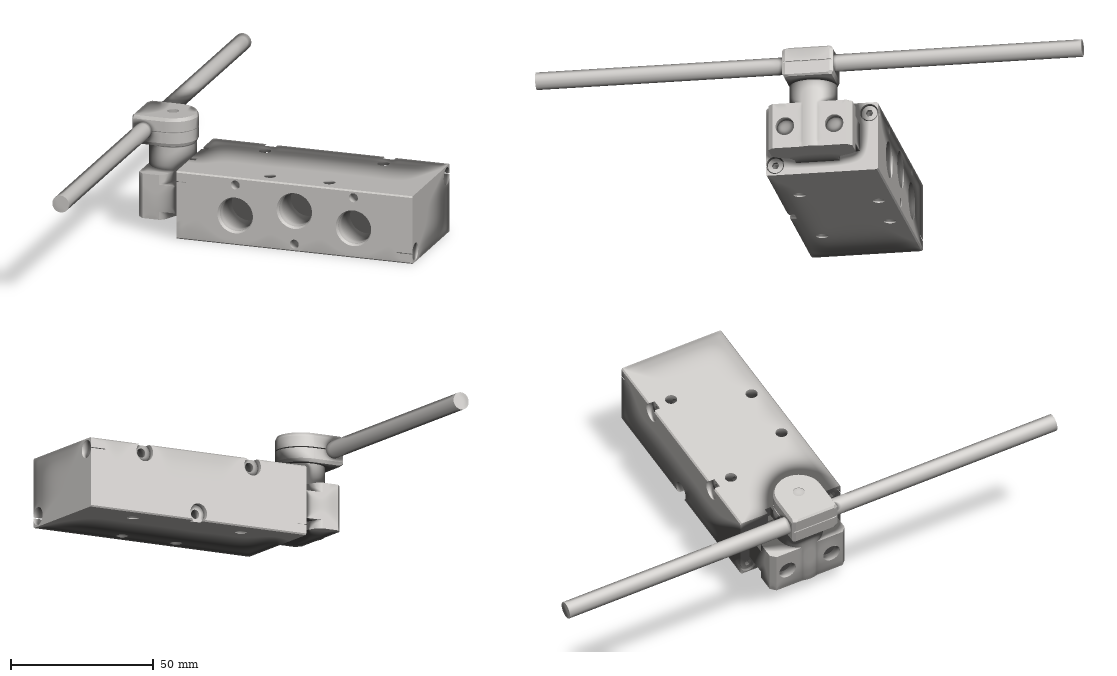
import cadquery as cq
import math

VALVE_LENGTH = 87.8
VALVE_WIDTH = 40.0
VALVE_HEIGHT = 25.0
COVER_LENGTH = 12.9
BODY_LENGTH = VALVE_LENGTH - 2 * COVER_LENGTH
EDGE_CHAMFER = 0.5
VALVE_FRONT = -VALVE_LENGTH / 2
VALVE_REAR = VALVE_LENGTH / 2
MID_HEIGHT = VALVE_HEIGHT / 2

PORT_SPACING = 22.0
OUTER_PORT_Z = 11.0
MIDDLE_PORT_Z = 15.0
PORT_CENTRES = [(-PORT_SPACING, OUTER_PORT_Z), (0, MIDDLE_PORT_Z), (PORT_SPACING, OUTER_PORT_Z)]
PORT_RADIUS = 6.1
PORT_MOUTH_RADIUS = 6.6
PORT_MOUTH_DEPTH = 1.2
PORT_DEPTH = 14.0

SIDE_HOLE_INSET = 2.75
SIDE_HOLE_CENTRES = [
    (-PORT_SPACING, VALVE_HEIGHT - SIDE_HOLE_INSET),
    (0, SIDE_HOLE_INSET),
    (PORT_SPACING, VALVE_HEIGHT - SIDE_HOLE_INSET),
]
SIDE_HOLE_RADIUS = 1.65
SIDE_COUNTERBORE_RADIUS = 3.4
SIDE_COUNTERBORE_DEPTH = 2.5

TOP_HOLE_LEFT_Y = 12.0
TOP_HOLE_RIGHT_Y = -14.25
TOP_HOLE_CENTRES = [
    (-PORT_SPACING, TOP_HOLE_LEFT_Y),
    (PORT_SPACING, TOP_HOLE_LEFT_Y),
    (-PORT_SPACING / 2, TOP_HOLE_RIGHT_Y),
    (PORT_SPACING / 2, TOP_HOLE_RIGHT_Y),
]
TOP_HOLE_RADIUS = 2.15

SCREW_Y = 16.8
SCREW_RISE = 8.75
FRONT_SCREW_CENTRES = [(-SCREW_Y, MID_HEIGHT + SCREW_RISE), (SCREW_Y, MID_HEIGHT - SCREW_RISE)]
REAR_COUNTERBORE_CENTRES = [(-SCREW_Y, MID_HEIGHT - SCREW_RISE), (SCREW_Y, MID_HEIGHT + SCREW_RISE)]
SCREW_HEAD_RADIUS = 2.7
SCREW_HEAD_LENGTH = 3.0
SCREW_SHANK_RADIUS = 1.5
SCREW_LENGTH = 12.0
SOCKET_WIDTH = 2.3
SOCKET_DEPTH = 1.5
SOCKET_TIP_RADIUS = 0.9
SOCKET_TIP_DEPTH = 0.6
SIDE_BREAK = 0.003
COUNTERBORE_RADIUS = VALVE_WIDTH / 2 - SCREW_Y + SIDE_BREAK
FRONT_COUNTERBORE_DEPTH = 3.6
REAR_COUNTERBORE_DEPTH = 5.9

POCKET_SIZE = 2.3
POCKET_DEPTH = 4.0
POCKET_OFFSET = 6.5

LEVER_REACH = 8.7
NECK_RADIUS = 8.5
LEVER_X = VALVE_FRONT - LEVER_REACH
LEVER_Y = 1.5

BRACKET_WIDTH = 30.0
BRACKET_BOTTOM = 4.1
BRACKET_TOP = 20.6
BRACKET_FRONT = LEVER_X - 8.0
BRACKET_CHAMFER = 1.8
FLANGE_BOTTOM = 7.1
FLANGE_TOP = 17.1
WAIST_HALF_WIDTH = 7.8
SHOULDER_MIDDLE = (1.4, BRACKET_WIDTH / 2 - 0.9)
SHOULDER_END = (2.3, BRACKET_WIDTH / 2 - 2.3)
SLOPE_END = (4.0, WAIST_HALF_WIDTH + 1.0)
STEP_END = (5.8, WAIST_HALF_WIDTH)
BRACKET_HOLE_SPACING = 17.6
BRACKET_HOLE_RADIUS = 3.3
BRACKET_HOLE_DEPTH = 3.3

TOP = 39.75
TOTAL_LENGTH = 108.9
CLAMP_HEIGHT = 10.5
CLAMP_BOTTOM = TOP - CLAMP_HEIGHT
CLAMP_RADIUS = 9.1
CLAMP_FRONT = VALVE_REAR - TOTAL_LENGTH
CLAMP_CHAMFER_HIGH = 0.6
CLAMP_CHAMFER_WIDE = 1.2
CLAMP_GAP = 0.5
STEM_RADIUS = 6.0
CLAMP_MIDDLE = CLAMP_BOTTOM + CLAMP_HEIGHT / 2
SLIT_HEIGHT = 0.4
GROOVE_DEPTH = 0.4
RECESS_RADIUS = 2.1
RECESS_DEPTH = 0.2
ROD_RADIUS = 3.1
ROD_LENGTH = 195.0
ROD_X = -60.5


def cylinder(start, direction, radius, length):
    """A cylinder that starts at a point and runs along a direction."""
    return cq.Workplane(cq.Solid.makeCylinder(radius, length, cq.Vector(*start), cq.Vector(*direction)))


def box(x_range, y_range, z_range):
    """A box that spans the given ranges along X, Y and Z."""
    (x0, x1), (y0, y1), (z0, z1) = x_range, y_range, z_range
    return cq.Workplane("XY").box(x1 - x0, y1 - y0, z1 - z0, centered=False).translate((x0, y0, z0))


def valve_bar(start, length):
    """A length of the valve's rectangular bar, with its four long edges chamfered."""
    half_width = VALVE_WIDTH / 2
    bar = box((start, start + length), (-half_width, half_width), (0, VALVE_HEIGHT))
    return bar.edges("|X").chamfer(EDGE_CHAMFER)


def make_screw(y, z):
    """A socket-head screw whose head rests on the floor of its counterbore."""
    seat = VALVE_FRONT + FRONT_COUNTERBORE_DEPTH
    head_top = seat - SCREW_HEAD_LENGTH
    head = cylinder((head_top, y, z), (1, 0, 0), SCREW_HEAD_RADIUS, SCREW_HEAD_LENGTH)
    shank = cylinder((seat, y, z), (1, 0, 0), SCREW_SHANK_RADIUS, SCREW_LENGTH)
    socket_diameter = SOCKET_WIDTH / math.cos(math.pi / 6)
    socket = (
        cq.Workplane("YZ", origin=(head_top, y, z)).polygon(6, socket_diameter).extrude(SOCKET_DEPTH)
    )
    tip_start = cq.Vector(head_top + SOCKET_DEPTH, y, z)
    tip = cq.Solid.makeCone(SOCKET_TIP_RADIUS, 0, SOCKET_TIP_DEPTH, tip_start, cq.Vector(1, 0, 0))
    return head.union(shank).cut(socket).cut(cq.Workplane(tip))


def make_body():
    """The middle of the valve, with its ports and mounting holes."""
    body = valve_bar(-BODY_LENGTH / 2, BODY_LENGTH)
    side = -VALVE_WIDTH / 2
    for x, z in PORT_CENTRES:
        body = body.cut(cylinder((x, side, z), (0, 1, 0), PORT_RADIUS, PORT_DEPTH))
        mouth = cq.Solid.makeCone(
            PORT_MOUTH_RADIUS, PORT_RADIUS, PORT_MOUTH_DEPTH, cq.Vector(x, side, z), cq.Vector(0, 1, 0)
        )
        body = body.cut(cq.Workplane(mouth))
    for x, z in SIDE_HOLE_CENTRES:
        body = body.cut(cylinder((x, side, z), (0, 1, 0), SIDE_HOLE_RADIUS, VALVE_WIDTH))
        body = body.cut(
            cylinder((x, -side, z), (0, -1, 0), SIDE_COUNTERBORE_RADIUS, SIDE_COUNTERBORE_DEPTH)
        )
    for x, y in TOP_HOLE_CENTRES:
        body = body.cut(cylinder((x, y, 0), (0, 0, 1), TOP_HOLE_RADIUS, VALVE_HEIGHT))
    return body


def make_front_cover():
    """The cover on the lever side, with two screw counterbores and two top pockets."""
    cover = valve_bar(VALVE_FRONT, COVER_LENGTH)
    for y, z in FRONT_SCREW_CENTRES:
        cover = cover.cut(
            cylinder((VALVE_FRONT, y, z), (1, 0, 0), COUNTERBORE_RADIUS, FRONT_COUNTERBORE_DEPTH)
        )
    half_pocket = POCKET_SIZE / 2
    for y in (LEVER_Y - POCKET_OFFSET, LEVER_Y + POCKET_OFFSET):
        pocket = box(
            (VALVE_FRONT, VALVE_FRONT + POCKET_SIZE),
            (y - half_pocket, y + half_pocket),
            (VALVE_HEIGHT - POCKET_DEPTH, VALVE_HEIGHT),
        )
        cover = cover.cut(pocket)
    return cover


def make_rear_cover():
    """The plain end cover, with two counterbores at the other pair of corners."""
    cover = valve_bar(VALVE_REAR - COVER_LENGTH, COVER_LENGTH)
    for y, z in REAR_COUNTERBORE_CENTRES:
        cover = cover.cut(
            cylinder((VALVE_REAR, y, z), (-1, 0, 0), COUNTERBORE_RADIUS, REAR_COUNTERBORE_DEPTH)
        )
    return cover


def corner_notch(side, bottom, top):
    """The cutter that narrows the bracket next to the cover, on the +Y (1) or -Y (-1) side."""
    half_width = BRACKET_WIDTH / 2

    def point(along, across):
        return (LEVER_X + along, LEVER_Y + side * across)

    return (
        cq.Workplane("XY", origin=(0, 0, bottom))
        .moveTo(*point(0, half_width))
        .threePointArc(point(*SHOULDER_MIDDLE), point(*SHOULDER_END))
        .lineTo(*point(*SLOPE_END))
        .lineTo(*point(*STEP_END))
        .lineTo(*point(LEVER_REACH, WAIST_HALF_WIDTH))
        .lineTo(*point(LEVER_REACH, half_width))
        .close()
        .extrude(top - bottom)
    )


def make_bracket():
    """The block on the front cover, its round neck and the short stem that carries the clamp."""
    half_width = BRACKET_WIDTH / 2
    block = box(
        (BRACKET_FRONT, VALVE_FRONT),
        (LEVER_Y - half_width, LEVER_Y + half_width),
        (BRACKET_BOTTOM, BRACKET_TOP),
    )
    block = block.edges("|Z and <X").chamfer(BRACKET_CHAMFER)
    for side in (1, -1):
        block = block.cut(corner_notch(side, BRACKET_BOTTOM, FLANGE_BOTTOM))
        block = block.cut(corner_notch(side, FLANGE_TOP, BRACKET_TOP))
    neck_height = CLAMP_BOTTOM - CLAMP_GAP - BRACKET_BOTTOM
    neck = cylinder((LEVER_X, LEVER_Y, BRACKET_BOTTOM), (0, 0, 1), NECK_RADIUS, neck_height)
    stem = cylinder((LEVER_X, LEVER_Y, CLAMP_BOTTOM), (0, 0, -1), STEM_RADIUS, CLAMP_GAP)
    bracket = block.union(neck).union(stem)
    hole_height = (FLANGE_BOTTOM + FLANGE_TOP) / 2
    for offset in (-BRACKET_HOLE_SPACING / 2, BRACKET_HOLE_SPACING / 2):
        start = (BRACKET_FRONT, LEVER_Y + offset, hole_height)
        bracket = bracket.cut(cylinder(start, (1, 0, 0), BRACKET_HOLE_RADIUS, BRACKET_HOLE_DEPTH))
    return bracket


def make_clamp():
    """The round-ended clamp, with a slit from its round end to the rod bore and a groove across its front."""
    left = LEVER_Y + CLAMP_RADIUS
    right = LEVER_Y - CLAMP_RADIUS
    upper_half = (
        cq.Workplane("XY", origin=(0, 0, CLAMP_MIDDLE))
        .moveTo(CLAMP_FRONT, right)
        .lineTo(LEVER_X, right)
        .threePointArc((LEVER_X + CLAMP_RADIUS, LEVER_Y), (LEVER_X, left))
        .lineTo(CLAMP_FRONT, left)
        .close()
        .extrude(CLAMP_HEIGHT / 2)
    )
    upper_half = upper_half.edges("|Z and <X").chamfer(CLAMP_CHAMFER_HIGH, CLAMP_CHAMFER_WIDE)
    upper_half = upper_half.faces(">Z").edges("not <X").chamfer(CLAMP_CHAMFER_WIDE, CLAMP_CHAMFER_HIGH)
    upper_half = upper_half.faces(">Z").edges("<X").chamfer(CLAMP_CHAMFER_HIGH)
    lower_half = upper_half.mirror("XY", (0, 0, CLAMP_MIDDLE))
    clamp = upper_half.union(lower_half)

    slit_range = (CLAMP_MIDDLE - SLIT_HEIGHT / 2, CLAMP_MIDDLE + SLIT_HEIGHT / 2)
    slit = box((ROD_X, LEVER_X + CLAMP_RADIUS), (right, left), slit_range)
    groove = box((CLAMP_FRONT, CLAMP_FRONT + GROOVE_DEPTH), (right, left), slit_range)
    bore = cylinder((ROD_X, right, CLAMP_MIDDLE), (0, 1, 0), ROD_RADIUS, 2 * CLAMP_RADIUS)
    recess = cylinder((LEVER_X, LEVER_Y, TOP), (0, 0, -1), RECESS_RADIUS, RECESS_DEPTH)
    return clamp.cut(slit).cut(groove).cut(bore).cut(recess)


def make_rod():
    """The long round lever rod held in the clamp."""
    return cylinder((ROD_X, LEVER_Y - ROD_LENGTH / 2, CLAMP_MIDDLE), (0, 1, 0), ROD_RADIUS, ROD_LENGTH)


screws = [make_screw(y, z) for y, z in FRONT_SCREW_CENTRES]
body = make_body()
front_cover = make_front_cover()
for screw in screws:
    body = body.cut(screw)
    front_cover = front_cover.cut(screw)
rear_cover = make_rear_cover()
bracket = make_bracket()
clamp = make_clamp()
rod = make_rod()

result = cq.Compound.makeCompound(
    [
        body.val(),
        front_cover.val(),
        rear_cover.val(),
        bracket.val(),
        clamp.val(),
        rod.val(),
        *[screw.val() for screw in screws],
    ]
)